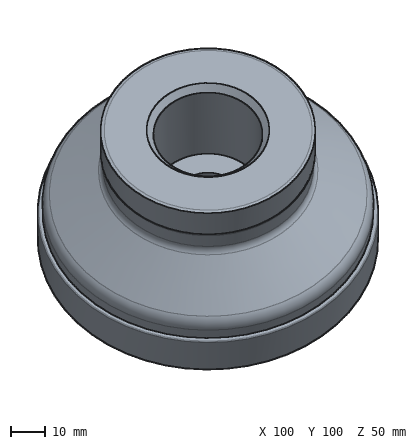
import cadquery as cq
import math

PAD_DIAMETER = 100.0
PAD_HEIGHT = 13.0
PAD_RIM_FILLET = 0.3

TOTAL_HEIGHT = 50.0
FOOT_DIAMETER = 97.2
FOOT_WALL_HEIGHT = 3.7
FOOT_ROUND_RADIUS = 5.0
SHOULDER_ANGLE = math.radians(37.0)
NECK_DIAMETER = 62.0
NECK_ROUND_RADIUS = 3.0
COLLAR_DIAMETER = 63.0
COLLAR_HEIGHT = 10.0
COLLAR_ROUND_RADIUS = 1.5
COLLAR_TOP_DIAMETER = 61.0
COLLAR_CHAMFER_HEIGHT = 0.3

BORE_DIAMETER = 32.0
BORE_DEPTH = 30.0
BORE_CHAMFER = 2.0
BOLT_HOLE_DIAMETER = 17.5


def make_pad():
    """Disc with rounded rims and the bolt clearance hole."""
    disc = cq.Workplane("XY").circle(PAD_DIAMETER / 2).extrude(PAD_HEIGHT)
    disc = disc.edges().fillet(PAD_RIM_FILLET)
    return disc.faces(">Z").workplane().hole(BOLT_HOLE_DIAMETER)


def make_hub():
    """Revolved hub standing on the pad, with a stepped central bore."""
    foot_radius = FOOT_DIAMETER / 2
    neck_radius = NECK_DIAMETER / 2
    collar_radius = COLLAR_DIAMETER / 2
    bore_radius = BORE_DIAMETER / 2
    bolt_hole_radius = BOLT_HOLE_DIAMETER / 2
    collar_bottom = TOTAL_HEIGHT - COLLAR_HEIGHT
    collar_step = collar_radius - neck_radius
    collar_round_height = math.sqrt(COLLAR_ROUND_RADIUS**2 - (COLLAR_ROUND_RADIUS - collar_step) ** 2)
    bore_floor = TOTAL_HEIGHT - BORE_DEPTH

    round_across = 1 - math.sin(SHOULDER_ANGLE)
    round_along = math.cos(SHOULDER_ANGLE)

    foot_round_start = PAD_HEIGHT + FOOT_WALL_HEIGHT
    cone_bottom_radius = foot_radius - FOOT_ROUND_RADIUS * round_across
    cone_bottom = foot_round_start + FOOT_ROUND_RADIUS * round_along
    cone_top_radius = neck_radius + NECK_ROUND_RADIUS * round_across
    cone_rise = (cone_bottom_radius - cone_top_radius) * math.tan(SHOULDER_ANGLE)
    cone_top = cone_bottom + cone_rise
    neck_round_end = cone_top + NECK_ROUND_RADIUS * round_along

    profile = (
        cq.Workplane("XZ")
        .moveTo(bolt_hole_radius, PAD_HEIGHT)
        .lineTo(foot_radius, PAD_HEIGHT)
        .lineTo(foot_radius, foot_round_start)
        .tangentArcPoint((cone_bottom_radius, cone_bottom), relative=False)
        .lineTo(cone_top_radius, cone_top)
        .tangentArcPoint((neck_radius, neck_round_end), relative=False)
        .lineTo(neck_radius, collar_bottom - collar_round_height)
        .tangentArcPoint((collar_radius, collar_bottom), relative=False)
        .lineTo(collar_radius, TOTAL_HEIGHT - COLLAR_CHAMFER_HEIGHT)
        .lineTo(COLLAR_TOP_DIAMETER / 2, TOTAL_HEIGHT)
        .lineTo(bore_radius + BORE_CHAMFER, TOTAL_HEIGHT)
        .lineTo(bore_radius, TOTAL_HEIGHT - BORE_CHAMFER)
        .lineTo(bore_radius, bore_floor)
        .lineTo(bolt_hole_radius, bore_floor)
        .close()
    )
    return profile.revolve(360, (0, 0, 0), (0, 1, 0))


pad = make_pad()
hub = make_hub()
result = cq.Compound.makeCompound([pad.val(), hub.val()])